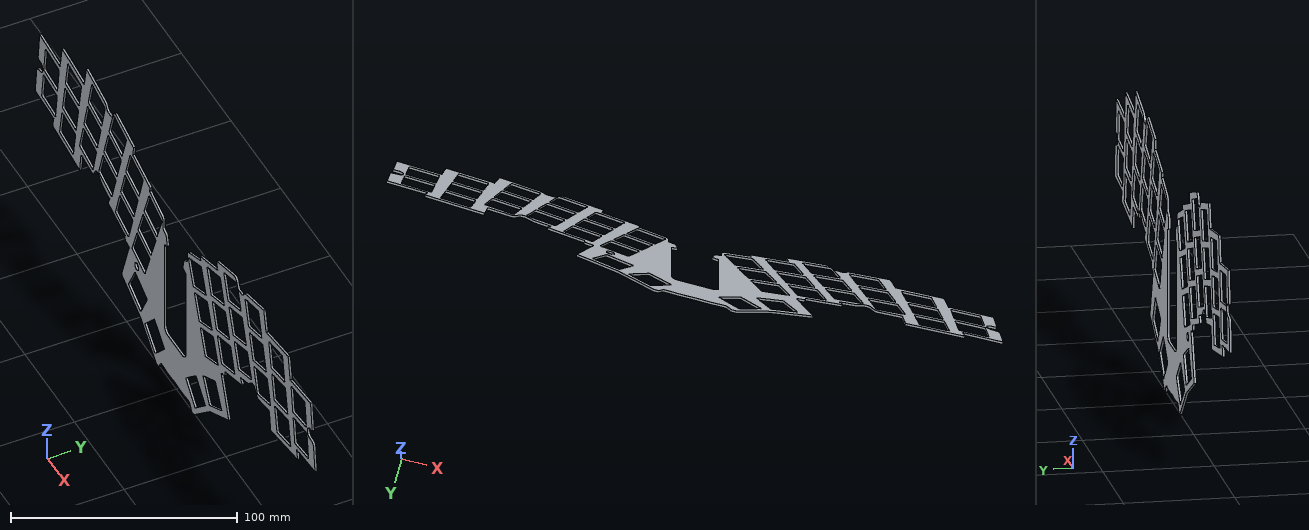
import cadquery as cq
import math


THICKNESS = 1.2

OPENING_SIDE = 13.8
OPENING_CORNER_RADIUS = 0.5
KEY_PITCH = 17.0

FINGER_COLUMNS = [
    (126.8, 13.3, 7, 2),
    (108.5, 5.6, 10, 3),
    (87.8, 13.0, 15, 3),
    (68.3, 12.5, 18, 3),
    (51.5, 2.3, 18, 3),
    (34.5, -6.2, 21, 3),
]

THUMB_KEYS = [
    (37.5, -31.3, 28),
    (20.5, -44.0, 43),
]

SMALL_HOLE_DIAMETER = 3.7
SMALL_HOLE_CENTER = (-38.7, -17.2)

BOTTOM_EDGE_Z = -55.0
LOBE_DEPTH = 0.42
LOBE_END_X = 12.0

SLOT_HALF_WIDTH = 10.7
SLOT_FLOOR_Z = -33.0
SLOT_CORNER_RADIUS = 3.5

OUTLINE_CORNERS = [
    (14.5, BOTTOM_EDGE_Z, 1.5),
    (16.7, -59.0, 0.8),
    (19.0, -59.0, 0.8),
    (35.0, -44.3, 0),
    (54.2, -34.2, 0),
    (46.5, -12.7, 0),
    (47.0, -12.0, 0),
    (50.5, -11.0, 1.0),
    (50.5, -8.5, 0),
    (67.8, -2.8, 0.5),
    (66.0, 0.5, 0),
    (73.7, 3.0, 2.8),
    (77.4, 6.5, 1.5),
    (80.0, 6.5, 1.5),
    (82.7, 1.7, 2.0),
    (94.9, 4.0, 0.8),
    (96.3, -6.5, 0),
    (123.6, -2.0, 0),
    (122.5, 3.0, 0),
    (141.2, 4.8, 0),
    (139.5, 20.0, 2.0),
    (133.5, 21.0, 2.3),
    (133.5, 25.7, 2.3),
    (138.3, 26.0, 1.0),
    (136.5, 41.8, 0),
    (116.0, 39.2, 0),
    (114.0, 51.5, 0),
    (91.7, 48.0, 0),
    (89.5, 59.0, 0),
    (70.3, 54.0, 2.8),
    (68.0, 50.8, 1.5),
    (63.5, 50.8, 1.5),
    (61.3, 56.2, 2.5),
    (41.8, 50.2, 0),
    (42.5, 45.5, 0),
    (25.0, 39.8, 0),
    (25.7, 37.5, 0),
    (12.0, 32.2, 2.3),
    (12.0, 26.0, 1.0),
    (9.0, 24.8, 0.8),
    (7.5, 19.0, 0.5),
    (SLOT_HALF_WIDTH, 17.8, 0.5),
    (SLOT_HALF_WIDTH, SLOT_FLOOR_Z, SLOT_CORNER_RADIUS),
]


def step_towards(start, end, distance):
    """Point at the given distance from start on the line to end."""
    share = distance / math.dist(start, end)
    return (start[0] + share * (end[0] - start[0]), start[1] + share * (end[1] - start[1]))


def rounded_corner(before, corner, after, radius):
    """Start, middle and end of the arc that rounds a corner."""
    to_before = math.atan2(before[1] - corner[1], before[0] - corner[0])
    to_after = math.atan2(after[1] - corner[1], after[0] - corner[0])
    half_angle = math.acos(math.cos(to_before - to_after)) / 2
    setback = radius / math.tan(half_angle)
    start = step_towards(corner, before, setback)
    end = step_towards(corner, after, setback)
    chord_middle = ((start[0] + end[0]) / 2, (start[1] + end[1]) / 2)
    middle = step_towards(corner, chord_middle, radius / math.sin(half_angle) - radius)
    return start, middle, end


def plate_outline():
    """Closed outline of both halves, starting and ending at the middle of the bottom edge."""
    mirrored = [(-x, z, radius) for x, z, radius in reversed(OUTLINE_CORNERS)]
    corners = OUTLINE_CORNERS + mirrored
    points = [(x, z) for x, z, _ in corners]
    bottom_middle = (0, BOTTOM_EDGE_Z)
    lobe_bottom_z = BOTTOM_EDGE_Z - LOBE_DEPTH

    outline = cq.Workplane("XZ").moveTo(*bottom_middle)
    outline = outline.threePointArc((LOBE_END_X / 2, lobe_bottom_z), (LOBE_END_X, BOTTOM_EDGE_Z))
    for index, (x, z, radius) in enumerate(corners):
        if radius == 0:
            outline = outline.lineTo(x, z)
            continue
        before = points[index - 1]
        after = points[(index + 1) % len(points)]
        start, middle, end = rounded_corner(before, (x, z), after, radius)
        outline = outline.lineTo(*start).threePointArc(middle, end)
    outline = outline.lineTo(-LOBE_END_X, BOTTOM_EDGE_Z)
    outline = outline.threePointArc((-LOBE_END_X / 2, lobe_bottom_z), bottom_middle)
    return outline.close()


def key_positions():
    """All keys of the right half as (x, z, tilt)."""
    keys = list(THUMB_KEYS)
    for x, z, tilt, count in FINGER_COLUMNS:
        lean = math.radians(tilt)
        for row in range(count):
            distance = row * KEY_PITCH
            keys.append((x - distance * math.sin(lean), z + distance * math.cos(lean), tilt))
    return keys


def switch_opening(x, z, tilt):
    """Cutter for one square opening, turned anticlockwise as seen from -Y."""
    opening = (
        cq.Workplane("XZ")
        .rect(OPENING_SIDE, OPENING_SIDE)
        .extrude(THICKNESS, both=True)
        .edges("|Y")
        .fillet(OPENING_CORNER_RADIUS)
    )
    return opening.rotate((0, 0, 0), (0, -1, 0), tilt).translate((x, 0, z))


plate = plate_outline().extrude(THICKNESS / 2, both=True)

for key_x, key_z, key_tilt in key_positions():
    plate = plate.cut(switch_opening(key_x, key_z, key_tilt))
    plate = plate.cut(switch_opening(-key_x, key_z, -key_tilt))

small_hole = (
    cq.Workplane("XZ")
    .center(*SMALL_HOLE_CENTER)
    .circle(SMALL_HOLE_DIAMETER / 2)
    .extrude(THICKNESS, both=True)
)

result = plate.cut(small_hole)